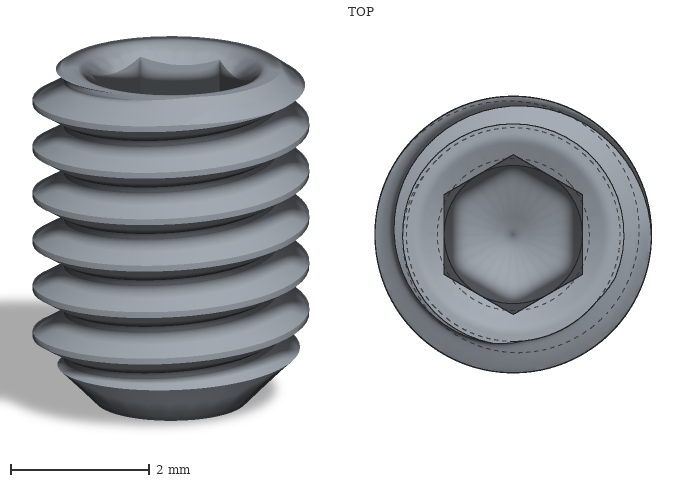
import cadquery as cq
import math

length = 5.0
crest_radius = 2.0

pitch = 0.7
crest_width = pitch / 8
flank_slope = math.tan(math.radians(30))
thread_depth = 3 / 8 * math.sqrt(3) * pitch
root_radius = crest_radius - thread_depth
root_overlap = 0.025
crest_height_at_x = 0.57

tip_radius = 1.1
tip_slope = math.tan(math.radians(45))
top_radius = 1.6
top_slope = 0.7
envelope_radius = crest_radius + 0.25

socket_flats = 2.0
socket_depth = 1.25
drill_slope = math.tan(math.radians(30))

mouth_radius = 1.45
mouth_round = 0.225
countersink_angle = math.radians(34)


def make_core():
    return cq.Workplane("XY").circle(root_radius).extrude(length)


def make_thread():
    """Helical ridge running past both ends of the screw."""
    start = crest_height_at_x - 2 * pitch
    turns = math.ceil((length - start) / pitch) + 1
    base_radius = root_radius - root_overlap
    half_crest = crest_width / 2
    half_base = half_crest + (crest_radius - base_radius) * flank_slope
    path = cq.Wire.makeHelix(pitch, turns * pitch, base_radius, center=cq.Vector(0, 0, start))
    profile = cq.Workplane("XZ").polyline([
        (base_radius, start - half_base),
        (crest_radius, start - half_crest),
        (crest_radius, start + half_crest),
        (base_radius, start + half_base),
    ]).close()
    return profile.sweep(cq.Workplane(path), isFrenet=True)


def make_envelope():
    """Turned blank that trims the thread to the flat ends and their chamfers."""
    tip_height = (envelope_radius - tip_radius) * tip_slope
    top_height = (envelope_radius - top_radius) * top_slope
    outline = cq.Workplane("XZ").polyline([
        (0, 0),
        (tip_radius, 0),
        (envelope_radius, tip_height),
        (envelope_radius, length - top_height),
        (top_radius, length),
        (0, length),
    ]).close()
    return outline.revolve(360, (0, 0, 0), (0, 1, 0))


def make_hexagon():
    corner_diameter = socket_flats / math.cos(math.radians(30))
    hexagon = cq.Workplane("XY", origin=(0, 0, length)).transformed(rotate=(0, 0, 90))
    return hexagon.polygon(6, corner_diameter).extrude(-socket_depth)


def make_drill_point():
    radius = socket_flats / 2
    floor = length - socket_depth
    outline = cq.Workplane("XZ").polyline([
        (0, floor),
        (radius, floor),
        (0, floor - radius * drill_slope),
    ]).close()
    return outline.revolve(360, (0, 0, 0), (0, 1, 0))


def make_countersink():
    """Cone blended into the top face by an arc tangent to both."""
    def round_point(angle):
        return (
            mouth_radius - mouth_round * math.sin(angle),
            length - mouth_round * (1 - math.cos(angle)),
        )

    cone_radius, cone_top = round_point(countersink_angle)
    apex = cone_top - cone_radius * math.tan(countersink_angle)
    outline = (
        cq.Workplane("XZ")
        .moveTo(0, length)
        .lineTo(mouth_radius, length)
        .threePointArc(round_point(countersink_angle / 2), (cone_radius, cone_top))
        .lineTo(0, apex)
        .close()
    )
    return outline.revolve(360, (0, 0, 0), (0, 1, 0))


envelope = make_envelope()
threaded_rod = make_core().union(make_thread().intersect(envelope))
blank = threaded_rod.intersect(envelope)
result = blank.cut(make_hexagon()).cut(make_drill_point()).cut(make_countersink())